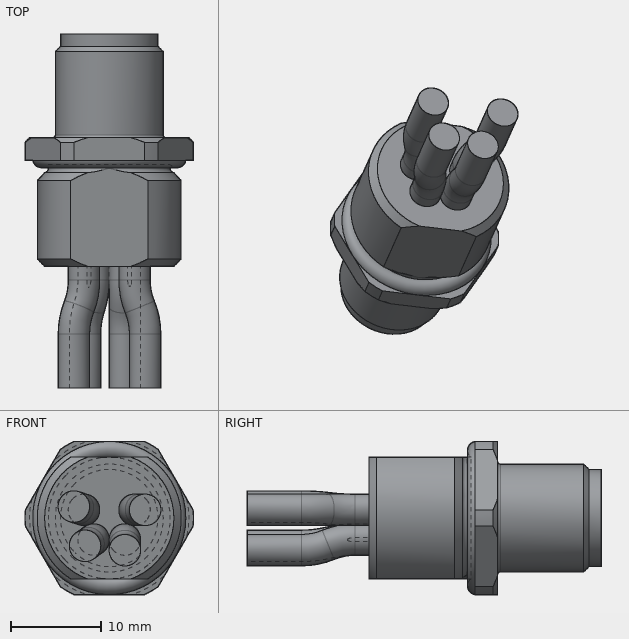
import cadquery as cq
import math


LENGTH = 39.3
WIRE_BEND_START = 6.0
WIRE_BEND_END = 12.0
BODY_BACK = 13.5
BODY_FRONT = 24.45
FLANGE_BACK = 25.27
FLANGE_FRONT = 27.8
NOSE_LENGTH = 1.38

BODY_DIAMETER = 16.0
BODY_CHAMFER = 0.83
BODY_CYLINDER_FRONT = 23.03
NECK_DIAMETER = 13.5
BODY_FLATS = NECK_DIAMETER
NECK_FILLET = 0.5
NECK_CYLINDER_LENGTH = 0.05
BARREL_DIAMETER = 12.0
BARREL_CHAMFER = 0.6
BARREL_ROOT_FILLET = 0.3
NOSE_DIAMETER = 10.8

HEX_FLATS = 17.0
HEX_CORNER_DIAMETER = 18.7
HEX_CHAMFER = 0.5

RING_SECTION_RADIUS = 1.0
RING_OUTER_DIAMETER = 17.0

WIRE_DIAMETER = 3.5
WIRE_CIRCLE_RADIUS = 2.95
WIRE_OFFSET = 1.18
WIRES = [(18, 0), (162, 162), (234, 216), (306, 270)]


def make_body():
    """Turned rear body with a neck at its front and two flats parallel to XY."""
    radius = BODY_DIAMETER / 2
    neck_radius = NECK_DIAMETER / 2
    fillet_centre_radius = neck_radius + NECK_FILLET
    fillet_centre_y = BODY_FRONT - NECK_CYLINDER_LENGTH
    cone_radius = radius - BODY_CHAMFER
    end_angle = math.acos((fillet_centre_radius - cone_radius) / NECK_FILLET)
    middle_angle = end_angle / 2
    fillet_end_y = fillet_centre_y - NECK_FILLET * math.sin(end_angle)
    fillet_middle = (
        fillet_centre_radius - NECK_FILLET * math.cos(middle_angle),
        fillet_centre_y - NECK_FILLET * math.sin(middle_angle),
    )
    profile = (
        cq.Workplane("XY")
        .moveTo(0, BODY_BACK)
        .lineTo(cone_radius, BODY_BACK)
        .lineTo(radius, BODY_BACK + BODY_CHAMFER)
        .lineTo(radius, BODY_CYLINDER_FRONT)
        .lineTo(cone_radius, fillet_end_y)
        .threePointArc(fillet_middle, (neck_radius, fillet_centre_y))
        .lineTo(neck_radius, FLANGE_BACK)
        .lineTo(0, FLANGE_BACK)
        .close()
    )
    body = profile.revolve(360, (0, 0, 0), (0, 1, 0))
    flats = cq.Workplane("XY").box(BODY_DIAMETER, LENGTH, BODY_FLATS).translate((0, LENGTH / 2, 0))
    return body.intersect(flats)


def make_flange():
    """Hexagon with flats facing +Z and -Z, turned corners and a front chamfer."""
    corner_radius = HEX_CORNER_DIAMETER / 2
    across_corners = HEX_FLATS / math.cos(math.radians(30))
    hexagon = (
        cq.Workplane("XZ", origin=(0, FLANGE_BACK, 0))
        .polygon(6, across_corners)
        .extrude(FLANGE_BACK - FLANGE_FRONT)
    )
    turned = (
        cq.Workplane("XZ", origin=(0, FLANGE_BACK, 0))
        .circle(corner_radius)
        .extrude(FLANGE_BACK - FLANGE_FRONT)
        .faces(">Y")
        .chamfer(HEX_CHAMFER)
    )
    return hexagon.intersect(turned)


def make_barrel():
    """Front barrel with a root fillet, a chamfered end and a smaller nose."""
    radius = BARREL_DIAMETER / 2
    barrel_front = LENGTH - NOSE_LENGTH
    root_radius = radius + BARREL_ROOT_FILLET
    fillet_front = FLANGE_FRONT + BARREL_ROOT_FILLET
    fillet_reach = BARREL_ROOT_FILLET * math.sin(math.radians(45))
    profile = (
        cq.Workplane("XY")
        .moveTo(0, FLANGE_FRONT)
        .lineTo(root_radius, FLANGE_FRONT)
        .threePointArc((root_radius - fillet_reach, fillet_front - fillet_reach), (radius, fillet_front))
        .lineTo(radius, barrel_front - BARREL_CHAMFER)
        .lineTo(NOSE_DIAMETER / 2, barrel_front)
        .lineTo(NOSE_DIAMETER / 2, LENGTH)
        .lineTo(0, LENGTH)
        .close()
    )
    return profile.revolve(360, (0, 0, 0), (0, 1, 0))


def make_ring():
    """Round-section sealing ring that touches the plane of the body's front."""
    centre_radius = RING_OUTER_DIAMETER / 2 - RING_SECTION_RADIUS
    return (
        cq.Workplane("XY")
        .center(centre_radius, BODY_FRONT + RING_SECTION_RADIUS)
        .circle(RING_SECTION_RADIUS)
        .revolve(360, (-centre_radius, 0, 0), (-centre_radius, 1, 0))
    )


def make_wire(place_angle, bend_direction):
    """Wire that leaves the body straight, steps sideways in an S-bend and ends straight."""
    place = math.radians(place_angle)
    start_x = WIRE_CIRCLE_RADIUS * math.cos(place)
    start_z = WIRE_CIRCLE_RADIUS * math.sin(place)
    half_length = (WIRE_BEND_END - WIRE_BEND_START) / 2
    half_offset = WIRE_OFFSET / 2
    bend_radius = (half_length**2 + half_offset**2) / (2 * half_offset)
    half_angle = math.asin(half_length / bend_radius) / 2
    arc_rise = bend_radius * (1 - math.cos(half_angle))
    arc_run = bend_radius * math.sin(half_angle)
    bend = math.radians(bend_direction)
    bend_plane = cq.Plane(
        origin=(start_x, 0, start_z),
        xDir=(math.cos(bend), 0, math.sin(bend)),
        normal=(-math.sin(bend), 0, math.cos(bend)),
    )
    path = (
        cq.Workplane(bend_plane)
        .moveTo(0, BODY_BACK)
        .lineTo(0, WIRE_BEND_END)
        .threePointArc((arc_rise, WIRE_BEND_END - arc_run), (half_offset, WIRE_BEND_END - half_length))
        .threePointArc((WIRE_OFFSET - arc_rise, WIRE_BEND_START + arc_run), (WIRE_OFFSET, WIRE_BEND_START))
        .lineTo(WIRE_OFFSET, 0)
    )
    section = cq.Workplane("XZ", origin=(start_x, BODY_BACK, start_z)).circle(WIRE_DIAMETER / 2)
    return section.sweep(path)


result = make_body().union(make_flange()).union(make_barrel()).union(make_ring())
for place_angle, bend_direction in WIRES:
    result = result.union(make_wire(place_angle, bend_direction))